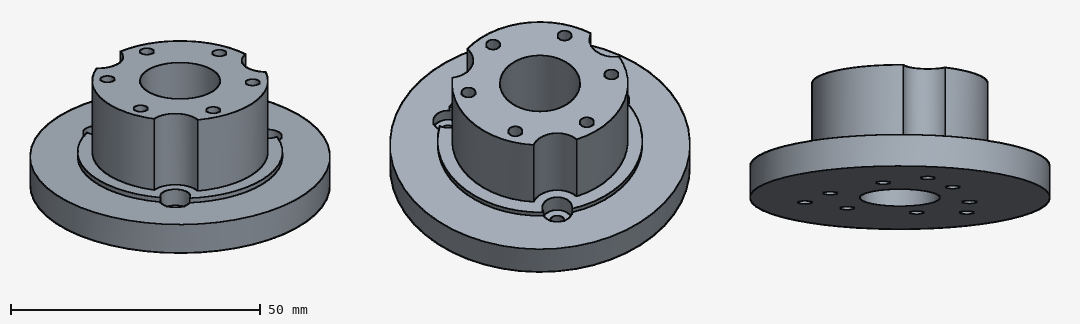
import cadquery as cq

flange_height = 6.4
step_height = 1.0
total_height = 23.4
step_top = flange_height + step_height
hub_height = total_height - step_top

flange_diameter = 60.0
step_diameter = 41.0
hub_diameter = 35.15
bore_diameter = 16.0

hub_hole_count = 6
hub_hole_circle_radius = 14.5
hub_hole_diameter = 2.8
hub_hole_start_angle = 30

screw_count = 3
screw_circle_radius = 19.5
screw_start_angle = 60
screw_hole_diameter = 2.8
counterbore_diameter = 6.0
counterbore_floor = 3.85
clearance_diameter = 10.0


def disc(diameter, bottom, height):
    """Solid disc centred on the Z axis."""
    return cq.Workplane("XY").workplane(offset=bottom).circle(diameter / 2).extrude(height)


def ring_of_cylinders(radius, start, count, diameter, bottom, top):
    """Vertical cylinders evenly spaced around the Z axis."""
    return (
        cq.Workplane("XY")
        .workplane(offset=bottom)
        .polarArray(radius, start, 360, count)
        .circle(diameter / 2)
        .extrude(top - bottom)
    )


def screw_cylinders(diameter, bottom, top):
    """Cylinders at the screw positions."""
    return ring_of_cylinders(
        screw_circle_radius, screw_start_angle, screw_count, diameter, bottom, top
    )


hub = disc(hub_diameter, step_top, hub_height)
hub = hub.cut(screw_cylinders(clearance_diameter, step_top, total_height))

body = disc(flange_diameter, 0, flange_height)
body = body.union(disc(step_diameter, flange_height, step_height))
body = body.union(hub)

body = body.cut(disc(bore_diameter, 0, total_height))
body = body.cut(
    ring_of_cylinders(
        hub_hole_circle_radius,
        hub_hole_start_angle,
        hub_hole_count,
        hub_hole_diameter,
        0,
        total_height,
    )
)

body = body.cut(screw_cylinders(screw_hole_diameter, 0, step_top))
result = body.cut(screw_cylinders(counterbore_diameter, counterbore_floor, step_top))